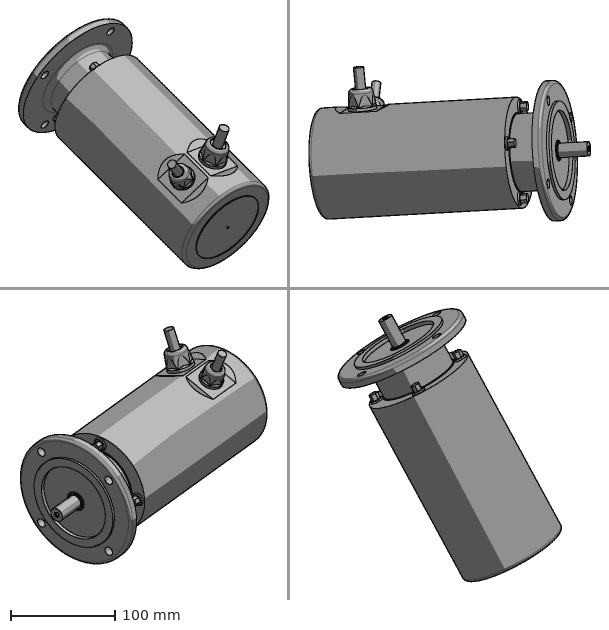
import cadquery as cq
import math

SHAFT_TIP = 0.0
PILOT_FACE = 26.5
FLANGE_FACE = 29.0
FLANGE_BACK = 38.0
BODY_FRONT = 69.0
BODY_REAR = 264.5
COVER_REAR = 265.5
REAR_TIP = 266.0

SHAFT_DIA = 14.0
PILOT_DIA = 95.0
FLANGE_DIA = 135.0
FLANGE_FACE_DIA = 129.0
NECK_DIA = 75.0
COLLAR_DIA = 77.0
BODY_DIA = 107.0
COVER_DIA = 77.0
REAR_TIP_DIA = 2.0

FLANGE_ROUND = (FLANGE_DIA - FLANGE_FACE_DIA) / 2
NECK_FILLET = 5.5
COLLAR_LENGTH = 0.6
BODY_REAR_ROUND = 3.0

RECESS_DIA = 77.0
RECESS_DEPTH = 3.8
SEAL_DIA = 20.0
SEAL_LENGTH = 0.7
SEAL_LIP_DIA = 16.0
SEAL_LIP_LENGTH = 1.4
SEAL_CHAMFER = 0.6

CENTRE_MOUTH_DIA = 5.6
CENTRE_SINK_DIA = 4.5
CENTRE_SINK_DEPTH = 1.5
CENTRE_HOLE_DIA = 3.43
CENTRE_HOLE_DEPTH = 10.0

MOUNT_HOLE_DIA = 9.0
MOUNT_CIRCLE_DIA = 115.0
MOUNT_HOLE_COUNT = 4
MOUNT_START_ANGLE = 45.0

SCREW_CIRCLE_DIA = 90.0
SCREW_COUNT = 4
SCREW_HEAD_ACROSS_FLATS = 8.0
SCREW_HEAD_FRONT = 61.0
WASHER_FRONT = 67.4
WASHER_FRONT_DIA = 11.8
WASHER_BACK_DIA = 13.5

GLAND_X = 220.0
GLAND_TILT = 21.0
FLAT_HEIGHT = 50.5
FLAT_LENGTH = 36.0
FLAT_END_SLOPE = 20.0
CUTTER_CLEARANCE = 1.0

GLAND_BASE_HEIGHT = 3.0
GLAND_SKIRT_HEIGHT = 1.8
GLAND_MOUTH_DEPTH = 2.0
GLAND_HEX_TURN = 30.0

HEX_CORNERS_PER_FLATS = 2 / math.sqrt(3)


def round_middle(centre, radius, sign_a, sign_b):
    """Middle point of a quarter arc, in the quadrant that the two signs give."""
    reach = radius * math.sqrt(0.5)
    return (centre[0] + sign_a * reach, centre[1] + sign_b * reach)


def make_turned_body():
    """Shaft, seal, flange, neck, body and rear cover as one turned shape around X."""
    recess_floor = PILOT_FACE + RECESS_DEPTH
    seal_face = recess_floor - SEAL_LENGTH
    lip_face = recess_floor - SEAL_LIP_LENGTH
    collar_front = BODY_FRONT - COLLAR_LENGTH
    neck_radius = NECK_DIA / 2

    flange_mid = round_middle(
        (FLANGE_FACE + FLANGE_ROUND, FLANGE_FACE_DIA / 2), FLANGE_ROUND, -1, 1)
    neck_mid = round_middle(
        (FLANGE_BACK + NECK_FILLET, neck_radius + NECK_FILLET), NECK_FILLET, -1, -1)
    rear_mid = round_middle(
        (BODY_REAR - BODY_REAR_ROUND, BODY_DIA / 2 - BODY_REAR_ROUND), BODY_REAR_ROUND, 1, 1)

    profile = (
        cq.Workplane("XZ")
        .moveTo(SHAFT_TIP, 0)
        .lineTo(SHAFT_TIP, SHAFT_DIA / 2)
        .lineTo(lip_face, SHAFT_DIA / 2)
        .lineTo(lip_face, SEAL_LIP_DIA / 2 - SEAL_CHAMFER)
        .lineTo(lip_face + SEAL_CHAMFER, SEAL_LIP_DIA / 2)
        .lineTo(seal_face, SEAL_LIP_DIA / 2)
        .lineTo(seal_face, SEAL_DIA / 2 - SEAL_CHAMFER)
        .lineTo(seal_face + SEAL_CHAMFER, SEAL_DIA / 2)
        .lineTo(recess_floor, SEAL_DIA / 2)
        .lineTo(recess_floor, RECESS_DIA / 2)
        .lineTo(PILOT_FACE, RECESS_DIA / 2)
        .lineTo(PILOT_FACE, PILOT_DIA / 2)
        .lineTo(FLANGE_FACE, PILOT_DIA / 2)
        .lineTo(FLANGE_FACE, FLANGE_FACE_DIA / 2)
        .threePointArc(flange_mid, (FLANGE_FACE + FLANGE_ROUND, FLANGE_DIA / 2))
        .lineTo(FLANGE_BACK, FLANGE_DIA / 2)
        .lineTo(FLANGE_BACK, neck_radius + NECK_FILLET)
        .threePointArc(neck_mid, (FLANGE_BACK + NECK_FILLET, neck_radius))
        .lineTo(collar_front, neck_radius)
        .lineTo(collar_front, COLLAR_DIA / 2)
        .lineTo(BODY_FRONT, COLLAR_DIA / 2)
        .lineTo(BODY_FRONT, BODY_DIA / 2)
        .lineTo(BODY_REAR - BODY_REAR_ROUND, BODY_DIA / 2)
        .threePointArc(rear_mid, (BODY_REAR, BODY_DIA / 2 - BODY_REAR_ROUND))
        .lineTo(BODY_REAR, COVER_DIA / 2)
        .lineTo(COVER_REAR, COVER_DIA / 2)
        .lineTo(COVER_REAR, REAR_TIP_DIA / 2)
        .lineTo(REAR_TIP, REAR_TIP_DIA / 2)
        .lineTo(REAR_TIP, 0)
        .close()
    )
    return profile.revolve(360, (0, 0, 0), (1, 0, 0))


def make_centre_hole():
    """Tapered mouth, counterbore, straight bore and conical bottom in the shaft tip."""
    mouth = CENTRE_MOUTH_DIA / 2
    sink = CENTRE_SINK_DIA / 2
    bore = CENTRE_HOLE_DIA / 2
    profile = [
        (SHAFT_TIP, 0),
        (SHAFT_TIP, mouth),
        (SHAFT_TIP + mouth - sink, sink),
        (SHAFT_TIP + CENTRE_SINK_DEPTH, sink),
        (SHAFT_TIP + CENTRE_SINK_DEPTH, bore),
        (SHAFT_TIP + CENTRE_HOLE_DEPTH, bore),
        (SHAFT_TIP + CENTRE_HOLE_DEPTH + bore, 0),
    ]
    return cq.Workplane("XY").polyline(profile).close().revolve(360, (0, 0, 0), (1, 0, 0))


def make_mount_holes():
    return (
        cq.Workplane("YZ", origin=(FLANGE_FACE, 0, 0))
        .polarArray(MOUNT_CIRCLE_DIA / 2, MOUNT_START_ANGLE, 360, MOUNT_HOLE_COUNT)
        .circle(MOUNT_HOLE_DIA / 2)
        .extrude(FLANGE_BACK - FLANGE_FACE)
    )


def make_screw():
    """Hexagon head on a conical washer, at the top of the screw circle."""
    centre_z = SCREW_CIRCLE_DIA / 2
    head = (
        cq.Workplane("YZ", origin=(SCREW_HEAD_FRONT, 0, centre_z))
        .transformed(rotate=(0, 0, 90))
        .polygon(6, SCREW_HEAD_ACROSS_FLATS * HEX_CORNERS_PER_FLATS)
        .extrude(BODY_FRONT - SCREW_HEAD_FRONT)
    )
    washer = (
        cq.Workplane("YZ", origin=(WASHER_FRONT, 0, centre_z))
        .circle(WASHER_FRONT_DIA / 2)
        .workplane(offset=BODY_FRONT - WASHER_FRONT)
        .circle(WASHER_BACK_DIA / 2)
        .loft(ruled=True)
    )
    return head.union(washer)


def make_flat_cutter():
    """Milled flat with sloping ends, facing +Z before it is tilted."""
    depth = BODY_DIA / 2 - FLAT_HEIGHT + CUTTER_CLEARANCE
    run = depth / math.tan(math.radians(FLAT_END_SLOPE))
    half = FLAT_LENGTH / 2
    return (
        cq.Workplane("XZ", origin=(GLAND_X, BODY_DIA / 2, FLAT_HEIGHT))
        .polyline([(-half, 0), (half, 0), (half + run, depth), (-half - run, depth)])
        .close()
        .extrude(BODY_DIA)
    )


def tilt(shape, angle):
    """Turn a shape about the motor axis; a positive angle leans +Z towards +Y."""
    return shape.rotate((0, 0, 0), (1, 0, 0), -angle)


def make_motor():
    motor = make_turned_body().cut(make_centre_hole()).cut(make_mount_holes())
    for index in range(SCREW_COUNT):
        motor = motor.union(tilt(make_screw(), index * 360 / SCREW_COUNT))
    for angle in (GLAND_TILT, -GLAND_TILT):
        motor = motor.cut(tilt(make_flat_cutter(), angle))
    return motor


def make_gland(across_flats, base_dia, height, dome_round, mouth_dia, cable_dia, cable_end):
    """Tapered gland nut with six wrench flats, and its cable, standing on a milled flat."""
    base_radius = base_dia / 2
    mouth_radius = mouth_dia / 2
    shoulder_radius = mouth_radius + dome_round
    shoulder_height = height - dome_round
    dome_mid = round_middle((mouth_radius, shoulder_height), dome_round, 1, 1)
    nut = (
        cq.Workplane("XZ")
        .lineTo(base_radius, 0)
        .lineTo(base_radius, GLAND_BASE_HEIGHT)
        .lineTo(shoulder_radius, shoulder_height)
        .threePointArc(dome_mid, (mouth_radius, height))
        .lineTo(mouth_radius, height - GLAND_MOUTH_DEPTH)
        .lineTo(0, height - GLAND_MOUTH_DEPTH)
        .close()
        .revolve(360, (0, 0, 0), (0, 1, 0))
    )
    skirt = (
        cq.Workplane("XY", origin=(0, 0, GLAND_BASE_HEIGHT))
        .circle(base_radius)
        .workplane(offset=GLAND_SKIRT_HEIGHT)
        .circle(across_flats / 2)
        .loft(ruled=True)
    )
    around_flats = (
        cq.Workplane("XY", origin=(0, 0, GLAND_BASE_HEIGHT))
        .circle(base_dia)
        .polygon(6, across_flats * HEX_CORNERS_PER_FLATS)
        .extrude(height - GLAND_BASE_HEIGHT)
        .rotate((0, 0, 0), (0, 0, 1), GLAND_HEX_TURN)
        .cut(skirt)
    )
    cable = cq.Workplane("XY").circle(cable_dia / 2).extrude(cable_end - FLAT_HEIGHT)
    gland = nut.cut(around_flats).union(cable)
    return gland.translate((GLAND_X, 0, FLAT_HEIGHT))


motor = make_motor()

large_gland = tilt(
    make_gland(
        across_flats=24.0,
        base_dia=27.7,
        height=20.5,
        dome_round=3.8,
        mouth_dia=16.0,
        cable_dia=10.0,
        cable_end=91.5,
    ),
    GLAND_TILT,
)

small_gland = tilt(
    make_gland(
        across_flats=20.4,
        base_dia=24.0,
        height=18.4,
        dome_round=4.0,
        mouth_dia=11.8,
        cable_dia=8.7,
        cable_end=88.7,
    ),
    -GLAND_TILT,
)

result = cq.Compound.makeCompound([motor.val(), large_gland.val(), small_gland.val()])